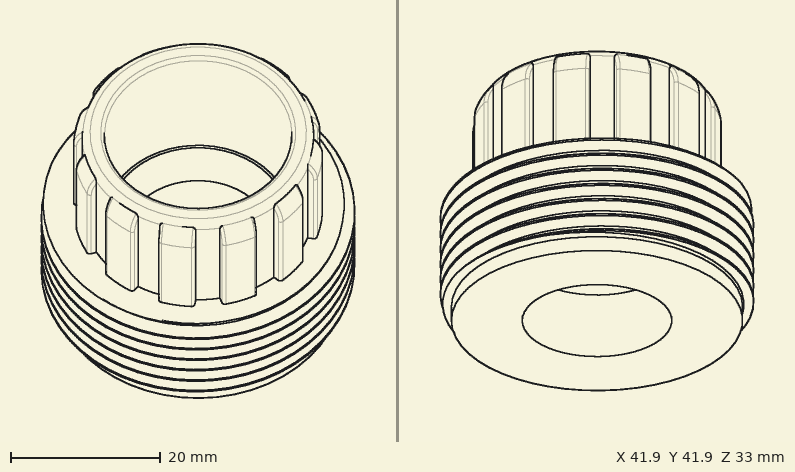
import cadquery as cq
import math

crest_dia = 41.9
root_dia = 38.95
base_height = 16.45
thread_bottom = 2.1
thread_pitch = 2.3
crest_width = 0.3
flank_half_angle = 27.5
crest_height_at_x = 3.8
extra_turns = 2
thread_embedding = 0.2
trim_margin = 0.85

total_height = 33.0
collar_dia = 31.0
collar_fillet = 1.05

rib_count = 12
rib_outer_dia = 33.3
rib_width = 4.85
rib_top_radius = 4.0
rib_shoulder_height = 29.4
rib_edge_fillet = 0.9 / 2

rim_radius = 0.5
socket_top_dia = 25.05
socket_bottom_dia = 24.8
socket_depth = 19.0
cone_top_dia = 24.0
cone_depth = 4.6
passage_dia = 20.0


def cylinder(diameter, bottom, top):
    return cq.Workplane("XY").workplane(offset=bottom).circle(diameter / 2).extrude(top - bottom)


def make_collar():
    collar = cylinder(collar_dia, 0, total_height)
    return collar.faces(">Z").edges().fillet(collar_fillet)


def make_rib():
    """Rib on the +X side: rounded shoulder on top, rounded outer edges."""
    outer_radius = rib_outer_dia / 2
    inner_radius = collar_dia / 2 - collar_fillet
    arc_center = outer_radius - rib_top_radius
    end_angle = math.acos((inner_radius - arc_center) / rib_top_radius)

    def shoulder_point(angle):
        return (
            arc_center + rib_top_radius * math.cos(angle),
            rib_shoulder_height + rib_top_radius * math.sin(angle),
        )

    ring = (
        cq.Workplane("XZ")
        .moveTo(inner_radius, base_height)
        .lineTo(outer_radius, base_height)
        .lineTo(outer_radius, rib_shoulder_height)
        .threePointArc(shoulder_point(end_angle / 2), shoulder_point(end_angle))
        .close()
        .revolve(360, (0, 0, 0), (0, 1, 0))
    )
    strip = cq.Workplane("XY").box(
        outer_radius + trim_margin, rib_width, total_height, centered=(False, True, False)
    )
    rib = ring.intersect(strip)
    middle = (inner_radius + outer_radius) / 2
    straight_edges = rib.edges("|Z").filter(lambda edge: edge.Center().x > middle)
    shoulder_edges = rib.faces("|Y").edges("%CIRCLE")
    return rib.newObject(straight_edges.vals() + shoulder_edges.vals()).fillet(rib_edge_fillet)


def make_thread_ridge():
    """Right-handed ridge, swept past both ends of the threaded length."""
    crest_radius = crest_dia / 2
    embedded_radius = root_dia / 2 - thread_embedding
    crest_half = crest_width / 2
    base_half = crest_half + (crest_radius - embedded_radius) * math.tan(math.radians(flank_half_angle))
    start_height = crest_height_at_x - extra_turns * thread_pitch
    turns = math.ceil((base_height - start_height + base_half) / thread_pitch)
    helix = cq.Wire.makeHelix(thread_pitch, turns * thread_pitch, crest_radius)
    return (
        cq.Workplane("XZ")
        .polyline([
            (embedded_radius, -base_half),
            (crest_radius, -crest_half),
            (crest_radius, crest_half),
            (embedded_radius, base_half),
        ])
        .close()
        .sweep(cq.Workplane(helix), isFrenet=True)
        .translate((0, 0, start_height))
    )


def make_base():
    """Threaded length, trimmed flat at both ends, on a plain foot."""
    overrun = extra_turns * thread_pitch
    core = cylinder(root_dia, thread_bottom - overrun, base_height + overrun)
    threaded = core.union(make_thread_ridge())
    trimmed = threaded.intersect(cylinder(crest_dia + trim_margin, thread_bottom, base_height))
    foot = cylinder(root_dia, 0, thread_bottom)
    return foot.union(trimmed)


def make_bore():
    ledge_height = total_height - socket_depth
    socket_top_radius = socket_top_dia / 2
    rim_center_x = socket_top_radius + rim_radius
    rim_center_z = total_height - rim_radius
    rim_arc_offset = rim_radius * math.sqrt(0.5)
    return (
        cq.Workplane("XZ")
        .lineTo(passage_dia / 2, 0)
        .lineTo(passage_dia / 2, ledge_height - cone_depth)
        .lineTo(cone_top_dia / 2, ledge_height)
        .lineTo(socket_bottom_dia / 2, ledge_height)
        .lineTo(socket_top_radius, rim_center_z)
        .threePointArc(
            (rim_center_x - rim_arc_offset, rim_center_z + rim_arc_offset),
            (rim_center_x, total_height),
        )
        .lineTo(0, total_height)
        .close()
        .revolve(360, (0, 0, 0), (0, 1, 0))
    )


body = make_base().union(make_collar())
rib = make_rib()
for index in range(rib_count):
    body = body.union(rib.rotate((0, 0, 0), (0, 0, 1), index * 360 / rib_count))
result = body.cut(make_bore())